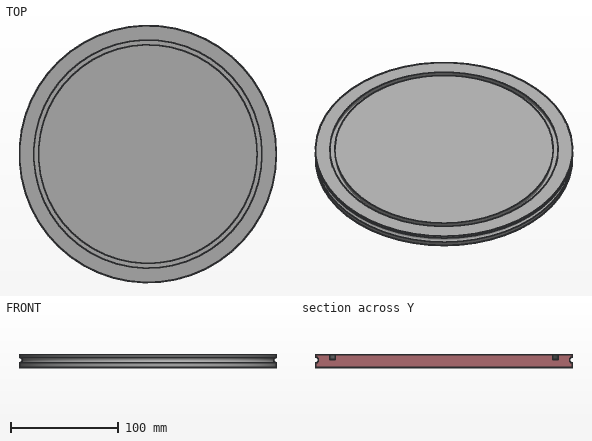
import cadquery as cq

outer_diameter = 240.0
thickness = 12.0

recess_outer_diameter = 213.0
recess_inner_diameter = 204.0
recess_depth = 4.5
recess_floor_fillet = 0.3

groove_radius = 2.5
groove_center_z = 7.0


def make_disc():
    return cq.Workplane("XY").circle(outer_diameter / 2).extrude(thickness)


def make_recess():
    """Ring that is cut from the top face, with rounded floor corners."""
    ring = (
        cq.Workplane("XY", origin=(0, 0, thickness - recess_depth))
        .circle(recess_outer_diameter / 2)
        .circle(recess_inner_diameter / 2)
        .extrude(recess_depth)
    )
    return ring.faces("<Z").edges().fillet(recess_floor_fillet)


def make_clamp_groove():
    """Torus whose inner half is cut from the rim."""
    ring = cq.Solid.makeTorus(outer_diameter / 2, groove_radius)
    return ring.translate(cq.Vector(0, 0, groove_center_z))


result = make_disc().cut(make_recess()).cut(cq.Workplane(make_clamp_groove()))